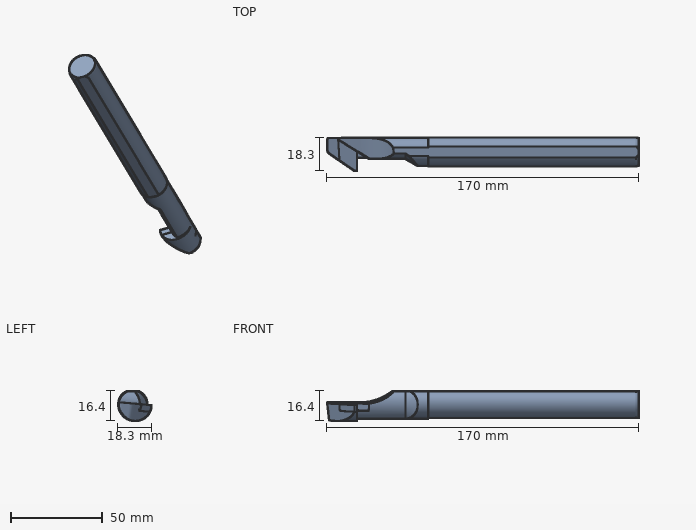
import cadquery as cq
import math

overall_length = 169.96
axis_x = (1, 0, 0)
axis_y = (0, 1, 0)
axis_z = (0, 0, 1)

shank_radius = 8.0
flat_height = 7.39
shank_start = 55.4
shank_chamfer_length = 1.6
shank_chamfer_depth = 0.5

collar_radius = 7.75
collar_end = 55.0
relief_centre_y = 6.7
relief_side_y = -3.85
relief_radius = relief_centre_y - relief_side_y
relief_end = 42.7
relief_angle = 30.0

tip_y = -10.315
head_radius = 9.0
head_centre_y = tip_y + head_radius
head_length = 16.4
lead_angle = 35.0
end_clearance = 6.5
side_clearance = 11.5
corner_radius = 3.2
back_corner_y = 9.0

rake_angle = 5.0
rake_height = 0.6
flute_end = 36.45
flute_radius = 25.0
flute_turn = 5.0

insert_thickness = 3.7
insert_chamfer = 0.7
pocket_corner = (6.1, 6.75)
pocket_end_angle = 3.5
pocket_wall_angle = 32.3

oversize = 60.0
head_block_height = 24.0
end_edge_height = rake_height + (back_corner_y - corner_radius) * math.tan(math.radians(rake_angle))


def rod(radius, start, end, centre_y=0.0):
    """Round bar along X."""
    return cq.Workplane("YZ", origin=(start, centre_y, 0)).circle(radius).extrude(end - start)


def cone(start_radius, end_radius, start, end, centre_y=0.0):
    """Truncated cone along X."""
    solid = cq.Solid.makeCone(
        start_radius, end_radius, end - start, cq.Vector(start, centre_y, 0), cq.Vector(*axis_x)
    )
    return cq.Workplane(solid)


def tilt_to_rake(body):
    """Move a body modelled on the plane Z = 0 onto the rake face."""
    return body.rotate((0, 0, 0), axis_x, rake_angle).translate((0, 0, rake_height))


def flat_cutter():
    """Block that cuts the flat along the whole top of the bar."""
    top = cq.Workplane("XY", origin=(overall_length / 2, 0, flat_height))
    return top.rect(overall_length + oversize, oversize).extrude(oversize)


def make_shank():
    """Round shank with a lead-in cone, an end chamfer and the bottom flat."""
    end_radius = shank_radius - shank_chamfer_depth
    chamfer_start = overall_length - shank_chamfer_length
    shank = (
        cone(collar_radius, shank_radius, collar_end, shank_start)
        .union(rod(shank_radius, shank_start, chamfer_start))
        .union(cone(shank_radius, end_radius, chamfer_start, overall_length))
    )
    return shank.cut(flat_cutter().mirror("XY"))


def make_neck():
    """Relieved round from inside the head up to the shank."""
    start = head_length / 2
    relief_rise = oversize / 2
    ramp_end = relief_end + relief_rise / math.tan(math.radians(relief_angle))
    relief = rod(relief_radius, start, relief_end, relief_centre_y).union(
        cone(relief_radius, relief_radius + relief_rise, relief_end, ramp_end, relief_centre_y)
    )
    return rod(collar_radius, start, collar_end).intersect(relief)


def make_head_envelope():
    """Outer form of the head, bar and insert together, up to where the rake face is cut."""
    end_block = (
        cq.Workplane("XY")
        .box(oversize, oversize, head_block_height, centered=(False, False, True))
        .translate((0, back_corner_y - oversize, 0))
        .edges("|Z and <X and >Y")
        .fillet(corner_radius)
        .rotate((0, 0, 0), axis_y, -end_clearance)
        .translate((0, 0, end_edge_height))
    )
    side_block = (
        cq.Workplane("XY")
        .box(2 * oversize, oversize, 2 * head_block_height, centered=(True, False, True))
        .rotate((0, 0, 0), axis_x, side_clearance)
        .rotate((0, 0, 0), axis_z, -lead_angle)
    )
    blank = end_block.intersect(side_block)
    cutting_corner = cq.selectors.NearestToPointSelector((0, 0, 0))
    blank = blank.edges(cutting_corner).fillet(corner_radius)
    return blank.intersect(rod(head_radius, -head_length, head_length, head_centre_y))


def make_flute_cutter():
    """Space above the rake face, ending in a round run-out."""
    rise = flat_height - rake_height
    run_out = math.sqrt(rise * (2 * flute_radius - rise))
    tangent_x = flute_end - run_out
    mid_angle = math.radians(45)
    cutter = (
        cq.Workplane("XZ")
        .moveTo(-oversize, 0)
        .lineTo(tangent_x, 0)
        .threePointArc(
            (
                tangent_x + flute_radius * math.sin(mid_angle),
                flute_radius * (1 - math.cos(mid_angle)),
            ),
            (tangent_x + flute_radius, flute_radius),
        )
        .lineTo(-oversize, flute_radius)
        .close()
        .extrude(oversize / 2, both=True)
    )
    cutter = cutter.rotate((flute_end, 0, 0), (flute_end, 0, 1), flute_turn)
    return tilt_to_rake(cutter)


def make_pocket_block():
    """Slanted block filling the insert pocket, open toward -Y and upward."""
    corner_x, corner_y = pocket_corner
    depth = oversize / 2
    end_shift = depth * math.tan(math.radians(pocket_end_angle))
    wall_run = depth / math.tan(math.radians(pocket_wall_angle))
    block = (
        cq.Workplane("XY", origin=(0, 0, -insert_thickness))
        .moveTo(corner_x, corner_y)
        .lineTo(corner_x + end_shift, corner_y - depth)
        .lineTo(corner_x + wall_run, corner_y - depth)
        .close()
        .extrude(insert_thickness + flat_height)
    )
    block = block.faces("<Z").edges("<X").chamfer(insert_chamfer)
    return tilt_to_rake(block)


head_envelope = make_head_envelope()
flute = make_flute_cutter()
pocket = make_pocket_block()

bar = make_shank().union(make_neck()).union(head_envelope)
bar = bar.cut(flat_cutter()).cut(flute).cut(pocket)
insert = pocket.intersect(head_envelope).cut(flute)

result = cq.Compound.makeCompound([*bar.solids().vals(), *insert.solids().vals()])